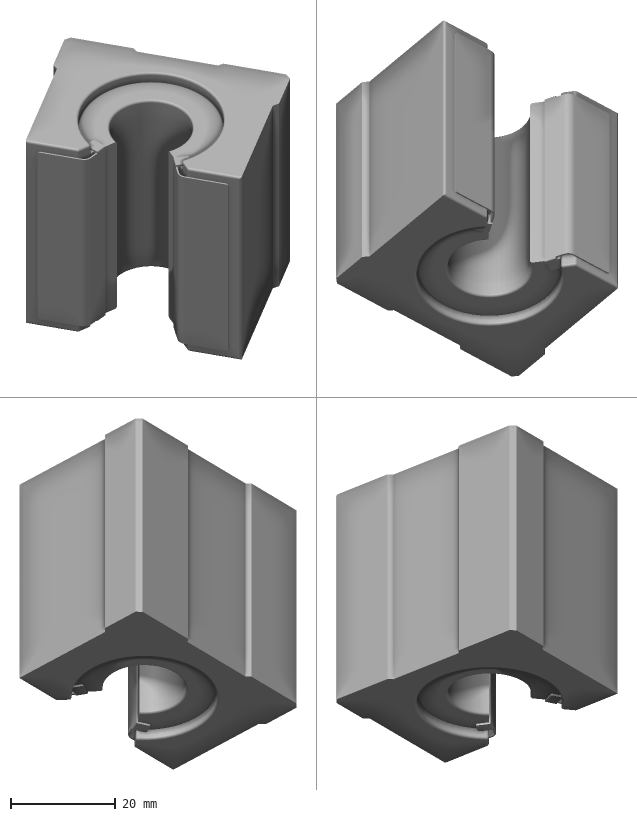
import cadquery as cq
import math


WIDTH = 45.0
LENGTH = 45.0
BACK_Y = 20.0
FRONT_Y = -13.0
SIDE_STEP = 1.0
BACK_CHAMFER = 1.0
SIDE_LAND_END_Y = BACK_Y - 9.0
RECESS_HALF_WIDTH = 8.1
RECESS_DEPTH = 0.8
HOUSING_BORE_R = 14.0
EDGE_R = 0.5
SLOT_HALF_ANGLE = 40.0

SHAFT_R = 8.0
BEARING_INSET = 2.0
BEARING_LENGTH = LENGTH - 2 * BEARING_INSET

CLIP_THICKNESS = 0.3
CLIP_OUTER_X = 19.0
CLIP_CORNER_R = 0.5
CLIP_BEND_R = 1.85
LEG_ANGLE = 26.0
LEG_OFFSET = 2.35

PLUG_WIDTH = 2.7
PLUG_HEIGHT = 2.35
PLUG_CORNER_R = 0.4
PLUG_DEPTH = 2.0
PLUG_PROUD = 0.4
PLUG_HEAD_EDGE_R = 0.25

LEG_INNER_OFFSET = LEG_OFFSET + CLIP_THICKNESS
LEG_TOP = LEG_INNER_OFFSET / math.tan(math.radians(SLOT_HALF_ANGLE - LEG_ANGLE))


def bar(outline, length):
    """Extrude an XY outline symmetrically along Z."""
    return outline.extrude(length / 2, both=True)


def slot_wedge(length):
    """Wedge-shaped space between the two radial slot walls."""
    reach = WIDTH
    half_width = reach * math.tan(math.radians(SLOT_HALF_ANGLE))
    outline = cq.Workplane("XY").polyline([(0, 0), (half_width, -reach), (-half_width, -reach)]).close()
    return bar(outline, length)


def leg_point(inward, along):
    """XY point of the -X side: `inward` from the leg-parallel plane through the axis, `along` it."""
    angle = math.radians(LEG_ANGLE)
    return (
        -inward * math.cos(angle) - along * math.sin(angle),
        inward * math.sin(angle) - along * math.cos(angle),
    )


def between_flanks(flank, top):
    """Selector for the edges centred between the flanks, from the front face up to Y = top."""
    slack = 0.05
    return cq.selectors.BoxSelector(
        (slack - flank, FRONT_Y - slack, -LENGTH),
        (flank - slack, top + slack, LENGTH),
    )


def make_housing():
    half = WIDTH / 2
    flank = half - SIDE_STEP
    recess_top = RECESS_HALF_WIDTH + RECESS_DEPTH
    right_side = [
        (RECESS_HALF_WIDTH, BACK_Y - RECESS_DEPTH),
        (recess_top, BACK_Y),
        (half - BACK_CHAMFER, BACK_Y),
        (half, BACK_Y - BACK_CHAMFER),
        (half, SIDE_LAND_END_Y),
        (flank, SIDE_LAND_END_Y - SIDE_STEP),
        (flank, FRONT_Y),
    ]
    left_side = [(-x, y) for x, y in reversed(right_side)]
    body = bar(cq.Workplane("XY").polyline(right_side + left_side).close(), LENGTH)
    body_with_round_corners = body.faces("<Y").edges("|Z").fillet(EDGE_R)

    bore = bar(cq.Workplane("XY").circle(HOUSING_BORE_R), LENGTH)
    body = body.cut(bore).cut(slot_wedge(LENGTH))

    body = body.edges("|Z").edges(between_flanks(flank, top=0)).fillet(EDGE_R)

    body = body.faces("<Z or >Z").edges(between_flanks(flank, top=HOUSING_BORE_R)).fillet(EDGE_R)

    return body.intersect(body_with_round_corners)


def make_bearing(plugs):
    ring = bar(cq.Workplane("XY").circle(HOUSING_BORE_R).circle(SHAFT_R), BEARING_LENGTH)
    ring = ring.faces("<Z or >Z").edges().fillet(EDGE_R)
    ring = ring.cut(slot_wedge(LENGTH))
    for plug in plugs:
        ring = ring.cut(plug)
    return ring


def make_left_clip():
    angle = math.radians(LEG_ANGLE)
    plate_y = FRONT_Y - CLIP_THICKNESS
    bend_y = plate_y + CLIP_BEND_R
    bend_x = (bend_y * math.sin(angle) - LEG_OFFSET - CLIP_BEND_R) / math.cos(angle)
    inner_r = CLIP_BEND_R - CLIP_THICKNESS

    def on_bend(radius, degrees):
        turn = math.radians(degrees)
        return (bend_x + radius * math.cos(turn), bend_y + radius * math.sin(turn))

    bend_start = -90.0
    bend_end = -LEG_ANGLE
    bend_middle = (bend_start + bend_end) / 2
    outline = (
        cq.Workplane("XY")
        .moveTo(-CLIP_OUTER_X, plate_y)
        .lineTo(*on_bend(CLIP_BEND_R, bend_start))
        .threePointArc(on_bend(CLIP_BEND_R, bend_middle), on_bend(CLIP_BEND_R, bend_end))
        .lineTo(*leg_point(LEG_OFFSET, LEG_TOP))
        .lineTo(*leg_point(LEG_INNER_OFFSET, LEG_TOP))
        .lineTo(*on_bend(inner_r, bend_end))
        .threePointArc(on_bend(inner_r, bend_middle), on_bend(inner_r, bend_start))
        .lineTo(-CLIP_OUTER_X, FRONT_Y)
        .close()
    )
    return bar(outline, BEARING_LENGTH).faces("<X").edges("|Y").fillet(CLIP_CORNER_R)


def plug_block(side_offset, base_z, height):
    """Block from the side plane at `side_offset` to the plug's far side, its far edges rounded."""
    far_offset = LEG_INNER_OFFSET + PLUG_WIDTH
    bottom = LEG_TOP + PLUG_HEIGHT
    corners = [
        leg_point(side_offset, LEG_TOP),
        leg_point(far_offset, LEG_TOP),
        leg_point(far_offset, bottom),
        leg_point(side_offset, bottom),
    ]
    block = cq.Workplane("XY", origin=(0, 0, base_z)).polyline(corners).close().extrude(height)
    far_edges = cq.selectors.SumSelector(
        cq.selectors.NearestToPointSelector((*corners[1], base_z + height / 2)),
        cq.selectors.NearestToPointSelector((*corners[2], base_z + height / 2)),
    )
    return block.edges("|Z").edges(far_edges).fillet(PLUG_CORNER_R)


def make_left_top_plug():
    bearing_end = BEARING_LENGTH / 2
    shank = plug_block(LEG_INNER_OFFSET, bearing_end - PLUG_DEPTH, PLUG_DEPTH)
    head = plug_block(LEG_OFFSET, bearing_end, PLUG_PROUD)
    slot_side_edge = cq.selectors.NearestToPointSelector(
        (*leg_point(LEG_OFFSET, LEG_TOP + PLUG_HEIGHT / 2), bearing_end + PLUG_PROUD)
    )
    head = head.faces(">Z").edges(slot_side_edge).fillet(PLUG_HEAD_EDGE_R)
    return shank.union(head)


left_clip = make_left_clip()
clips = [left_clip, left_clip.mirror("YZ")]

plugs = []
left_top_plug = make_left_top_plug()
for end_plug in (left_top_plug, left_top_plug.mirror("XY")):
    plugs += [end_plug, end_plug.mirror("YZ")]

housing = make_housing()
bearing = make_bearing(plugs)

bodies = [housing, bearing, *clips, *plugs]
result = cq.Compound.makeCompound([body.val() for body in bodies])